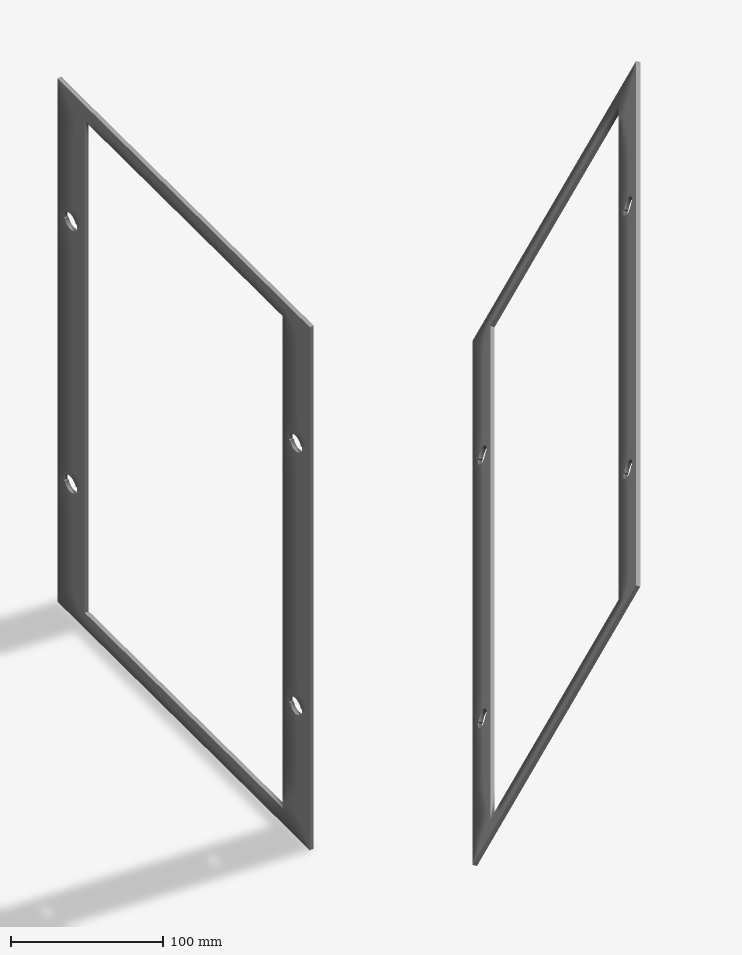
import cadquery as cq
import math

FRAME_WIDTH = 295.0
FRAME_HEIGHT = 463.0
THICKNESS = 3.0
POST_WIDTH = 32.0
RAIL_HEIGHT = 14.0

POST_SEAM_Z = 82.0

POST_KNOB_RADIUS = 8.0
POST_NECK_WIDTH = 6.0
RAIL_KNOB_RADIUS = 5.5
RAIL_NECK_WIDTH = 3.0

HOLE_Z = 116.0
HOLE_DIAMETER = 13.5
HOLE_SLOT_LENGTH = 15.5
HOLE_SLOT_WIDTH = 4.5

FEATURE_SHIFT_X = -1.0

HALF_WIDTH = FRAME_WIDTH / 2
HALF_HEIGHT = FRAME_HEIGHT / 2
POST_CENTRE_X = HALF_WIDTH - POST_WIDTH / 2
RAIL_CENTRE_Z = HALF_HEIGHT - RAIL_HEIGHT / 2


def plate(sketch):
    """Extrude an XZ outline symmetrically about Y = 0."""
    return sketch.extrude(THICKNESS / 2, both=True)


def disc(x, z, radius):
    return plate(cq.Workplane("XZ").center(x, z).circle(radius))


def knob_offset(radius, neck_width):
    """Distance from a seam to a knob centre that leaves the given neck chord."""
    return math.sqrt(radius**2 - (neck_width / 2) ** 2)


def feature_x(side):
    """X position of the knobs and holes on one post."""
    return side * POST_CENTRE_X + FEATURE_SHIFT_X


def post_knob(side, end):
    """Knob reaching from a corner piece into the middle post."""
    offset = knob_offset(POST_KNOB_RADIUS, POST_NECK_WIDTH)
    return disc(feature_x(side), end * (POST_SEAM_Z - offset), POST_KNOB_RADIUS)


def rail_knob(end):
    """Knob reaching from the left corner piece into the right one."""
    offset = knob_offset(RAIL_KNOB_RADIUS, RAIL_NECK_WIDTH)
    return disc(offset, end * RAIL_CENTRE_Z, RAIL_KNOB_RADIUS)


def mounting_hole(side, end):
    bore = plate(cq.Workplane("XZ").circle(HOLE_DIAMETER / 2))
    slot = plate(cq.Workplane("XZ").rect(HOLE_SLOT_LENGTH, HOLE_SLOT_WIDTH))
    hole = bore.union(slot)
    return hole.translate((feature_x(side), 0, end * HOLE_Z))


def corner_piece(side, end):
    """L-shaped quarter of the frame; side and end are -1 or +1 along X and Z."""
    inner_x = side * (HALF_WIDTH - POST_WIDTH)
    inner_z = end * (HALF_HEIGHT - RAIL_HEIGHT)
    outline = [
        (0, end * HALF_HEIGHT),
        (side * HALF_WIDTH, end * HALF_HEIGHT),
        (side * HALF_WIDTH, end * POST_SEAM_Z),
        (inner_x, end * POST_SEAM_Z),
        (inner_x, inner_z),
        (0, inner_z),
    ]
    body = plate(cq.Workplane("XZ").polyline(outline).close())
    body = body.union(post_knob(side, end)).cut(mounting_hole(side, end))
    if side < 0:
        return body.union(rail_knob(end))
    return body.cut(rail_knob(end))


def middle_post(side):
    """Straight post with a round socket at each end."""
    body = cq.Workplane("XY").box(POST_WIDTH, THICKNESS, 2 * POST_SEAM_Z)
    body = body.translate((side * POST_CENTRE_X, 0, 0))
    for end in (-1, 1):
        body = body.cut(post_knob(side, end))
    return body


corner_pieces = [corner_piece(side, end) for side in (-1, 1) for end in (-1, 1)]
middle_posts = [middle_post(side) for side in (-1, 1)]

result = cq.Compound.makeCompound([body.val() for body in corner_pieces + middle_posts])